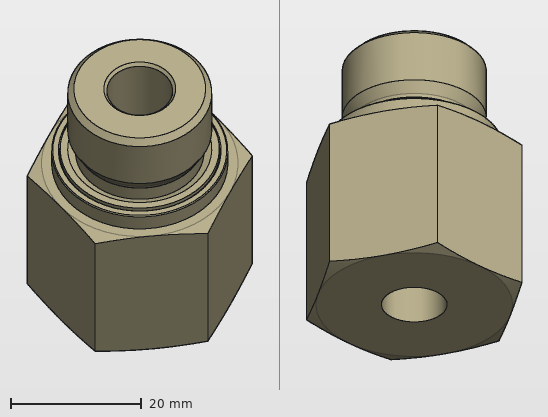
import cadquery as cq
import math

total_height = 43.0
hex_across_flats = 30.0
hex_height = 25.95
hex_chamfer_angle = 15.0

bore_diameter = 10.0
bore_chamfer = 0.47

collar_diameter = 26.9
collar_top = 28.85
collar_chamfer = 0.17
groove_diameter = 24.5
groove_chamfer = 0.17
groove_floor = 27.1
seat_diameter = 18.6

thread_diameter = 22.0
thread_bottom = 33.6
thread_chamfer = 0.95
relief_diameter = 19.6
relief_cone_bottom = 31.78
relief_cone_angle = 30.0

seal_diameter = 24.3
seal_top = 29.25
seal_inner_edge_diameter = 22.0
lip_diameter = 19.7
lip_base = 28.7
lip_top = 31.2

hex_across_corners = hex_across_flats / math.cos(math.radians(30))


def revolve_profile(profile):
    """Close a radius/height profile and turn it fully around the Z axis."""
    return profile.close().revolve(360, (0, 0, 0), (0, 1, 0))


def make_hexagon():
    """Hexagon with corners on Y and conical chamfers at both ends."""
    prism = (
        cq.Workplane("XY")
        .polygon(6, hex_across_corners)
        .extrude(hex_height)
        .rotate((0, 0, 0), (0, 0, 1), 30)
    )
    flat_radius = hex_across_flats / 2
    corner_radius = hex_across_corners / 2
    corner_drop = (corner_radius - flat_radius) * math.tan(math.radians(hex_chamfer_angle))
    envelope = revolve_profile(
        cq.Workplane("XZ")
        .lineTo(flat_radius, 0)
        .lineTo(corner_radius, corner_drop)
        .lineTo(corner_radius, hex_height - corner_drop)
        .lineTo(flat_radius, hex_height)
        .lineTo(0, hex_height)
    )
    return prism.intersect(envelope)


def make_spigot():
    """Turned end: collar with seal groove, seal seat, thread relief and thread."""
    collar_radius = collar_diameter / 2
    groove_radius = groove_diameter / 2
    seat_radius = seat_diameter / 2
    relief_radius = relief_diameter / 2
    thread_radius = thread_diameter / 2

    cone_angle = math.radians(relief_cone_angle)
    cone_end_radius = thread_radius - (thread_bottom - relief_cone_bottom) * math.tan(cone_angle)
    arc_radius = (cone_end_radius - relief_radius) / (1 - math.cos(cone_angle))
    arc_bottom = relief_cone_bottom - arc_radius * math.sin(cone_angle)
    arc_middle = (
        relief_radius + arc_radius * (1 - math.cos(cone_angle / 2)),
        arc_bottom + arc_radius * math.sin(cone_angle / 2),
    )

    return revolve_profile(
        cq.Workplane("XZ")
        .moveTo(0, hex_height)
        .lineTo(collar_radius, hex_height)
        .lineTo(collar_radius, collar_top - collar_chamfer)
        .lineTo(collar_radius - collar_chamfer, collar_top)
        .lineTo(groove_radius + groove_chamfer, collar_top)
        .lineTo(groove_radius, collar_top - groove_chamfer)
        .lineTo(groove_radius, groove_floor)
        .lineTo(seat_radius, groove_floor)
        .lineTo(seat_radius, lip_top)
        .lineTo(relief_radius, lip_top)
        .lineTo(relief_radius, arc_bottom)
        .threePointArc(arc_middle, (cone_end_radius, relief_cone_bottom))
        .lineTo(thread_radius, thread_bottom)
        .lineTo(thread_radius, total_height - thread_chamfer)
        .lineTo(thread_radius - thread_chamfer, total_height)
        .lineTo(0, total_height)
    )


def make_bore():
    """Cutter for the through bore with a chamfer at its upper mouth."""
    radius = bore_diameter / 2
    return revolve_profile(
        cq.Workplane("XZ")
        .lineTo(radius, 0)
        .lineTo(radius, total_height - bore_chamfer)
        .lineTo(radius + bore_chamfer, total_height)
        .lineTo(0, total_height)
    )


def make_fitting():
    return make_hexagon().union(make_spigot()).cut(make_bore())


def make_seal():
    """Ring standing in the collar groove, its top sloping in to the raised lip."""
    return revolve_profile(
        cq.Workplane("XZ")
        .moveTo(seat_diameter / 2, groove_floor)
        .lineTo(seal_diameter / 2, groove_floor)
        .lineTo(seal_diameter / 2, seal_top)
        .lineTo(seal_inner_edge_diameter / 2, seal_top)
        .lineTo(lip_diameter / 2, lip_base)
        .lineTo(lip_diameter / 2, lip_top)
        .lineTo(seat_diameter / 2, lip_top)
    )


fitting = make_fitting()
seal = make_seal()
result = cq.Compound.makeCompound([fitting.val(), seal.val()])